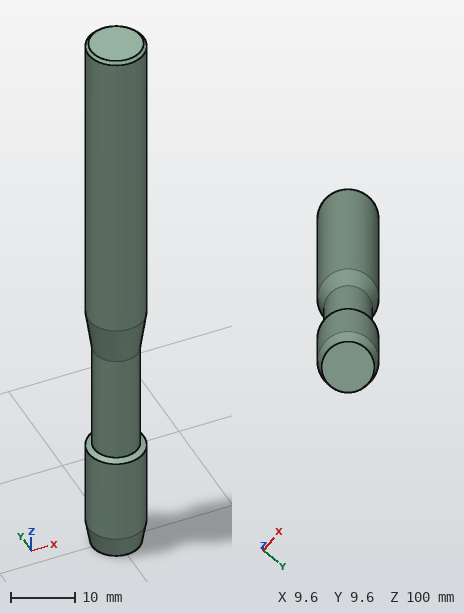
import cadquery as cq

total_length = 100.0
body_diameter = 9.6
neck_diameter = 7.6
tip_diameter = 8.2
shank_bottom = 46.0
neck_top = 39.0
head_length = 19.6
tip_length = 4.0
top_chamfer = 0.5
head_shoulder = 0.5

body_radius = body_diameter / 2
neck_radius = neck_diameter / 2
tip_radius = tip_diameter / 2


def revolve_profile(points):
    """Revolve a closed (radius, height) outline around the Z axis."""
    outline = cq.Workplane("XZ").polyline(points).close()
    return outline.revolve(360, (0, 0, 0), (0, 1, 0))


def make_shank():
    """Chamfered cylindrical shank that tapers down to a slimmer neck."""
    return revolve_profile([
        (0, head_length),
        (neck_radius, head_length),
        (neck_radius, neck_top),
        (body_radius, shank_bottom),
        (body_radius, total_length - top_chamfer),
        (body_radius - top_chamfer, total_length),
        (0, total_length),
    ])


def make_head():
    """Cylindrical cutting head with a tapered tip and a conical shoulder meeting the neck."""
    return revolve_profile([
        (0, 0),
        (tip_radius, 0),
        (body_radius, tip_length),
        (body_radius, head_length - head_shoulder),
        (neck_radius, head_length),
        (0, head_length),
    ])


shank = make_shank()
head = make_head()

result = cq.Compound.makeCompound([shank.val(), head.val()])